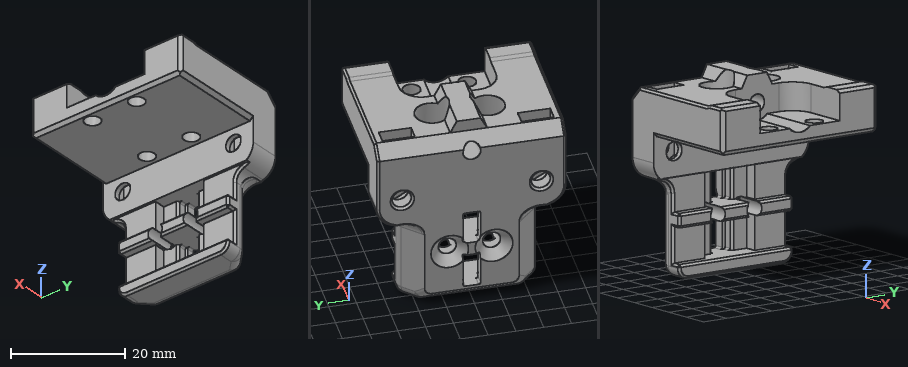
import cadquery as cq
import math

DEPTH = 26.5
WIDTH = 34.0
HEIGHT = 36.25
HALF_WIDTH = WIDTH / 2

RIB_HEIGHT = 2.25
DECK_Z = HEIGHT - RIB_HEIGHT
NOSE_CHAMFER = 2.35
ARM_UNDERSIDE_Z = 25.85
WALL_THICKNESS = 6.55
TONGUE_THICKNESS = 6.13
RECESS_TOP_Z = 18.1
TAB_X = 8.0
TAB_TOP_Z = 11.75
TAB_BOTTOM_Z = 9.15
LIP_TOP_Z = 2.6
PAD_START_X = 21.9
PAD_RAMP = 0.87
PAD_RISE = 0.25
PAD_END_X = 25.6
PAD_END_DROP = 0.47

EDGE_CHAMFER = 0.45
ARM_END_SETBACK = 0.58
ARM_EDGE_CHAMFER = 0.75

TONGUE_HALF_WIDTH = 12.5
SHOULDER_RADIUS = 4.0
SHOULDER_Z = 21.25
ROOF_Z = SHOULDER_Z - SHOULDER_RADIUS
NECK_RADIUS = 2.5
TONGUE_RADIUS = 2.0
FLANK_CHAMFER = 4.0
TOE_CHAMFER = 2.03

RIB_TOP_HALF_WIDTH = 2.15
RIB_BASE_HALF_WIDTH = 3.35

POCKET_X = 14.05
POCKET_HALF_WIDTH = 8.75
POCKET_RADIUS = 4.0
POCKET_FLOOR_Z = 28.85
GROOVE_DIAMETER = 6.2

SCREW_DIAMETER = 3.2
HEAD_DIAMETER = 6.15
DECK_HOLE_Y = 5.0
INNER_DECK_HOLE_X = 9.0
OUTER_DECK_HOLE_X = 24.05
CABLE_HOLE_Z = 31.03
WALL_HOLE_DIAMETER = 3.4
WALL_HOLE_MOUTH = 4.28
WALL_HOLE_Y = 12.5
WALL_HOLE_Z = 22.75
NUT_ACROSS_FLATS = 5.85
NUT_SLOT_X = 2.75
NUT_SLOT_DEPTH = 2.72
TONGUE_HOLE_Y = 4.0
COUNTERSINK_DIAMETER = 6.75
SLOT_WIDTH = 3.1
SLOT_RADIUS = 0.35
WINDOW_STEP_X = 1.95
STEP_HALF_WIDTH = 2.15
BACK_POCKET_X = 3.85
BACK_POCKET_HALF_WIDTH = 5.45

TOLERANCE = 0.05
MARGIN = 4.35


def box(x_range, y_range, z_range):
    """Axis-aligned box given by its limits."""
    size = [high - low for low, high in (x_range, y_range, z_range)]
    return cq.Workplane("XY").box(*size, centered=False).translate((x_range[0], y_range[0], z_range[0]))


def rod_x(diameter, x_start, x_end, y, z):
    """Cylinder along X."""
    return cq.Workplane("YZ", origin=(x_start, y, z)).circle(diameter / 2).extrude(x_end - x_start)


def rod_z(diameter, z_start, z_end, x, y):
    """Cylinder along Z."""
    return cq.Workplane("XY", origin=(x, y, z_start)).circle(diameter / 2).extrude(z_end - z_start)


def countersink(mouth, tip, y, z):
    """45-degree cone that opens on the X = 0 face."""
    depth = (mouth - tip) / 2
    return (
        cq.Workplane("YZ", origin=(0, y, z)).circle(mouth / 2)
        .workplane(offset=depth).circle(tip / 2).loft()
    )


def side_profile():
    """XZ section with wall, arm and tongue with tab and lip, extruded across the width."""
    pad_z = DECK_Z + PAD_RISE
    return (
        cq.Workplane("XZ")
        .moveTo(0, 0)
        .lineTo(0, DECK_Z - NOSE_CHAMFER)
        .lineTo(NOSE_CHAMFER, DECK_Z)
        .lineTo(PAD_START_X, DECK_Z)
        .lineTo(PAD_START_X + PAD_RAMP, pad_z)
        .lineTo(PAD_END_X, pad_z)
        .lineTo(DEPTH, pad_z - PAD_END_DROP)
        .lineTo(DEPTH, ARM_UNDERSIDE_Z + ARM_EDGE_CHAMFER)
        .lineTo(DEPTH - ARM_END_SETBACK, ARM_UNDERSIDE_Z)
        .lineTo(WALL_THICKNESS, ARM_UNDERSIDE_Z)
        .lineTo(WALL_THICKNESS, RECESS_TOP_Z)
        .lineTo(TONGUE_THICKNESS, RECESS_TOP_Z)
        .lineTo(TONGUE_THICKNESS, TAB_TOP_Z)
        .lineTo(TAB_X, TAB_TOP_Z)
        .lineTo(TAB_X, TAB_BOTTOM_Z)
        .lineTo(TONGUE_THICKNESS, TAB_BOTTOM_Z)
        .lineTo(TONGUE_THICKNESS, LIP_TOP_Z)
        .lineTo(TAB_X, LIP_TOP_Z)
        .lineTo(TAB_X, 0)
        .close()
        .extrude(HALF_WIDTH, both=True)
    )


def end_outline():
    """YZ section with wide top, round shoulders, necks and narrow tongue, extruded over the depth."""
    shoulder_y = HALF_WIDTH - SHOULDER_RADIUS
    neck_y = TONGUE_HALF_WIDTH + NECK_RADIUS
    center_distance = SHOULDER_RADIUS + NECK_RADIUS
    run = neck_y - shoulder_y
    drop = math.sqrt(center_distance**2 - run**2)
    neck_z = SHOULDER_Z - drop
    meet_angle = math.atan2(drop, run)

    def on_shoulder(angle):
        y = shoulder_y + SHOULDER_RADIUS * math.cos(angle)
        z = SHOULDER_Z - SHOULDER_RADIUS * math.sin(angle)
        return (y, z)

    def on_neck(angle):
        y = neck_y - NECK_RADIUS * math.cos(angle)
        z = neck_z + NECK_RADIUS * math.sin(angle)
        return (y, z)

    half = (
        cq.Workplane("YZ")
        .moveTo(0, HEIGHT)
        .lineTo(HALF_WIDTH, HEIGHT)
        .lineTo(HALF_WIDTH, SHOULDER_Z)
        .threePointArc(on_shoulder(meet_angle / 2), on_shoulder(meet_angle))
        .threePointArc(on_neck(meet_angle / 2), on_neck(0))
        .lineTo(TONGUE_HALF_WIDTH, TONGUE_RADIUS)
        .radiusArc((TONGUE_HALF_WIDTH - TONGUE_RADIUS, 0), TONGUE_RADIUS)
        .lineTo(0, 0)
        .close()
        .extrude(DEPTH)
    )
    return half.union(half.mirror("XZ"))


def tongue_form():
    """Tongue with tapered flanks and toe, prolonged past the X = 0 face so its tapers run clear."""
    back = TAB_X + MARGIN
    top = RECESS_TOP_Z + MARGIN
    form = box((-MARGIN, back), (-TONGUE_HALF_WIDTH, TONGUE_HALF_WIDTH), (0, top))
    flank = FLANK_CHAMFER + MARGIN
    toe = TOE_CHAMFER + MARGIN
    for side in (-1, 1):
        y = side * TONGUE_HALF_WIDTH
        wedge = (
            cq.Workplane("XY", origin=(-MARGIN, y, 0))
            .polyline([(0, 0), (flank, 0), (0, -side * flank)]).close().extrude(top)
        )
        form = form.cut(wedge)
    toe_wedge = (
        cq.Workplane("XZ", origin=(-MARGIN, 0, 0))
        .polyline([(0, 0), (toe, 0), (0, toe)]).close().extrude(TONGUE_HALF_WIDTH, both=True)
    )
    form = form.cut(toe_wedge)
    end_edges = form.faces(">X or <X or >Z").edges().vals()
    rounded = [e for e in form.edges().vals() if not any(e.isSame(f) for f in end_edges)]
    return form.newObject(rounded).fillet(TONGUE_RADIUS)


def tongue_surround():
    """Material to remove around the tongue, with a round run-out under the shoulders.

    Its roof touches the lowest point of the shoulders.
    """
    half = HALF_WIDTH + MARGIN
    blank = box((-MARGIN, TAB_X + MARGIN), (-half, half), (-MARGIN, ROOF_Z))
    surround = blank.cut(tongue_form())
    inner = [e for e in surround.faces(">Z").edges().vals()
             if abs(e.Center().y) < TONGUE_HALF_WIDTH + TOLERANCE
             and -MARGIN < e.Center().x < TAB_X + MARGIN]
    return surround.newObject(inner).fillet(NECK_RADIUS)


def chamfer_arm_end(body):
    """Break the upright end edges of the arm and the long edges of its underside."""
    uprights = [e for e in body.faces("<Y or >Y").edges().vals() if e.Center().x > DEPTH - TOLERANCE]
    body = body.newObject(uprights).chamfer(ARM_END_SETBACK, ARM_EDGE_CHAMFER)
    underside = [e for e in body.edges("|X").vals() if abs(e.Center().z - ARM_UNDERSIDE_Z) < TOLERANCE]
    return body.newObject(underside).chamfer(ARM_EDGE_CHAMFER)


def chamfer_tongue_back(body):
    """Break the outer back edges of the tongue, its tab and its lip."""
    def picked(edge):
        c = edge.Center()
        in_depth = TONGUE_THICKNESS - TOLERANCE < c.x < TAB_X + TOLERANCE
        below_recess_top = c.z < RECESS_TOP_Z - TOLERANCE
        on_flank = abs(c.y) > TONGUE_HALF_WIDTH - TONGUE_RADIUS
        on_back_face = c.x > TAB_X - TOLERANCE
        return in_depth and below_recess_top and (on_flank or on_back_face)

    return body.newObject([e for e in body.edges().vals() if picked(e)]).chamfer(EDGE_CHAMFER)


def chamfer_front_and_top(body):
    """Break the edges that run from the necks up the front, over the nose and along the deck sides."""
    def picked(edge):
        c = edge.Center()
        on_side = abs(c.y) > HALF_WIDTH - TOLERANCE
        above_necks = c.z > ROOF_Z - NECK_RADIUS + TOLERANCE
        front = c.x < TOLERANCE and above_necks and abs(c.y) > TONGUE_HALF_WIDTH
        deck_side = on_side and c.z > DECK_Z - NOSE_CHAMFER and c.x < PAD_END_X
        return front or deck_side

    return body.newObject([e for e in body.edges().vals() if picked(e)]).chamfer(EDGE_CHAMFER)


def run_out_bevel(side):
    """Bevel on the front edge of a flank run-out, fading out where the flank becomes straight."""
    center = (0, side * TONGUE_HALF_WIDTH, ROOF_Z - NECK_RADIUS)
    return (
        cq.Workplane("YZ", origin=center)
        .ellipse(FLANK_CHAMFER, NECK_RADIUS + EDGE_CHAMFER)
        .workplane(offset=EDGE_CHAMFER)
        .ellipse(FLANK_CHAMFER - EDGE_CHAMFER, NECK_RADIUS)
        .loft()
    )


def rib():
    """Tapered rib along the middle of the deck."""
    base = RIB_BASE_HALF_WIDTH
    top = RIB_TOP_HALF_WIDTH
    return (
        cq.Workplane("YZ", origin=(NOSE_CHAMFER, 0, DECK_Z))
        .polyline([(-base, 0), (base, 0), (top, RIB_HEIGHT), (-top, RIB_HEIGHT)])
        .close().extrude(POCKET_X - NOSE_CHAMFER)
    )


def end_pocket():
    """Pocket open at the arm end, with a round groove along its floor."""
    pocket = box(
        (POCKET_X, DEPTH + MARGIN),
        (-POCKET_HALF_WIDTH, POCKET_HALF_WIDTH),
        (POCKET_FLOOR_Z, HEIGHT),
    )
    pocket = pocket.edges("|Z and <X").fillet(POCKET_RADIUS)
    groove = rod_x(GROOVE_DIAMETER, POCKET_X, DEPTH, 0, CABLE_HOLE_Z)
    return pocket.union(groove)


def deck_holes(side):
    """Two screw holes down through the arm; the inner one has a head counterbore."""
    y = side * DECK_HOLE_Y
    inner = rod_z(SCREW_DIAMETER, ARM_UNDERSIDE_Z, HEIGHT, INNER_DECK_HOLE_X, y)
    head = rod_z(HEAD_DIAMETER, POCKET_FLOOR_Z, HEIGHT, INNER_DECK_HOLE_X, y)
    outer = rod_z(SCREW_DIAMETER, ARM_UNDERSIDE_Z, HEIGHT, OUTER_DECK_HOLE_X, y)
    return inner.union(head).union(outer)


def wall_hole(side):
    """Screw hole through the wall with a broken mouth and a hexagonal nut slot open to the deck."""
    y = side * WALL_HOLE_Y
    hole = rod_x(WALL_HOLE_DIAMETER, 0, WALL_THICKNESS, y, WALL_HOLE_Z)
    mouth = countersink(WALL_HOLE_MOUTH, WALL_HOLE_DIAMETER, y, WALL_HOLE_Z)
    half_flats = NUT_ACROSS_FLATS / 2
    corner_rise = half_flats * math.tan(math.pi / 6)
    nut_slot = (
        cq.Workplane("YZ", origin=(NUT_SLOT_X, y, WALL_HOLE_Z))
        .moveTo(0, -2 * corner_rise)
        .lineTo(half_flats, -corner_rise)
        .lineTo(half_flats, HEIGHT - WALL_HOLE_Z)
        .lineTo(-half_flats, HEIGHT - WALL_HOLE_Z)
        .lineTo(-half_flats, -corner_rise)
        .close().extrude(NUT_SLOT_DEPTH)
    )
    return hole.union(mouth).union(nut_slot)


def tongue_hole(side):
    """Countersunk screw hole through the tongue and its tab."""
    y = side * TONGUE_HOLE_Y
    z = (TAB_TOP_Z + TAB_BOTTOM_Z) / 2
    hole = rod_x(SCREW_DIAMETER, 0, TAB_X, y, z)
    return hole.union(countersink(COUNTERSINK_DIAMETER, SCREW_DIAMETER, y, z))


def tongue_window(z_low, z_high):
    """Opening through the tongue, stepping from a narrow slot in front to a wide pocket at the back.

    The middle step has broken edges where it meets the pocket.
    """
    def slot(x_start, x_end, half_width):
        blank = box((x_start, x_end), (-half_width, half_width), (z_low, z_high))
        return blank.edges("|X").fillet(SLOT_RADIUS)

    break_x = BACK_POCKET_X - EDGE_CHAMFER
    mouth = STEP_HALF_WIDTH + EDGE_CHAMFER
    flare = (
        cq.Workplane("XY", origin=(0, 0, z_low))
        .polyline([
            (break_x, -STEP_HALF_WIDTH),
            (BACK_POCKET_X, -mouth),
            (BACK_POCKET_X, mouth),
            (break_x, STEP_HALF_WIDTH),
        ])
        .close().extrude(z_high - z_low)
    )
    pocket = box(
        (BACK_POCKET_X, TONGUE_THICKNESS),
        (-BACK_POCKET_HALF_WIDTH, BACK_POCKET_HALF_WIDTH),
        (z_low, z_high),
    )
    narrow = slot(0, WINDOW_STEP_X, SLOT_WIDTH / 2)
    step = slot(WINDOW_STEP_X, BACK_POCKET_X, STEP_HALF_WIDTH)
    return narrow.union(step).union(flare).union(pocket)


body = side_profile().intersect(end_outline())
body = chamfer_arm_end(body)
body = chamfer_tongue_back(body)
body = chamfer_front_and_top(body)
body = body.cut(tongue_surround())
for side in (-1, 1):
    body = body.cut(run_out_bevel(side))
body = body.union(rib())

body = body.cut(end_pocket())
body = body.cut(rod_x(SCREW_DIAMETER, 0, POCKET_X, 0, CABLE_HOLE_Z))
for side in (-1, 1):
    body = body.cut(deck_holes(side))
    body = body.cut(wall_hole(side))
    body = body.cut(tongue_hole(side))
body = body.cut(tongue_window(TAB_TOP_Z, RECESS_TOP_Z))
body = body.cut(tongue_window(LIP_TOP_Z, TAB_BOTTOM_Z))

result = body